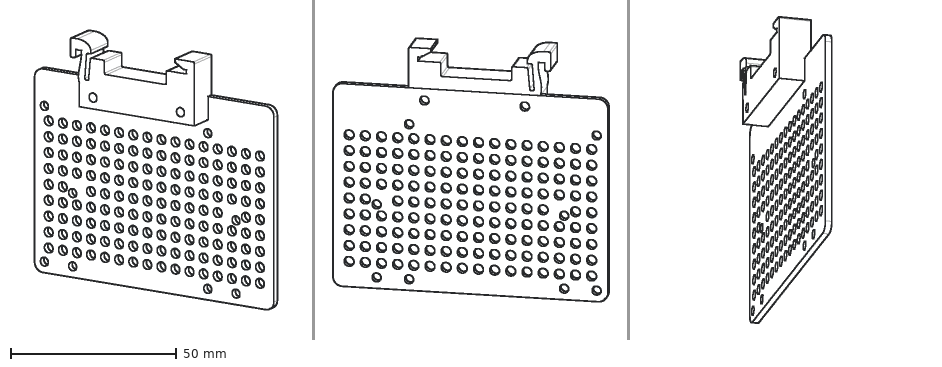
import cadquery as cq

PLATE_WIDTH = 85.0
PLATE_HEIGHT = 64.0
PLATE_THICKNESS = 2.0
PLATE_CORNER_RADIUS = 3.0
HALF_WIDTH = PLATE_WIDTH / 2

GRID_COLUMNS = 16
GRID_ROWS = 9
GRID_HOLE_DIAMETER = 3.0
GRID_SIDE_MARGIN = 5.0
GRID_BOTTOM_MARGIN = 8.0
GRID_PITCH = (PLATE_WIDTH - 2 * GRID_SIDE_MARGIN) / (GRID_COLUMNS - 1)
SKIPPED_GRID_HOLES = [(2, 4), (GRID_COLUMNS - 3, 4)]

BOARD_HOLE_DIAMETER = 2.7
LARGE_BOARD_INSET_X = 3.5
BOARD_HOLE_BOTTOM = 3.5
BOARD_HOLE_SPACING_X = 58.0
LARGE_BOARD_SPACING_Z = 49.0
SMALL_BOARD_SPACING_Z = 23.0

CLIP_DEPTH = 10.0
CLIP_LEFT = -21.7
CLIP_RIGHT = 19.1
CLIP_BOTTOM = 56.7
EDGE_RADIUS = 0.5

SCREW_HOLE_DIAMETER = 2.8
SCREW_HOLE_SPACING = 31.0
SCREW_LEFT_X = -16.8
SCREW_Z = 60.3

SADDLE_LEFT = -12.75
SADDLE_RIGHT = 9.1
SADDLE_FLOOR = 68.2
PILLAR_TOP = 72.6

RIGHT_HOOK_TOP = 76.75
RIGHT_HOOK_TIP_X = 12.2
RIGHT_HOOK_TIP_BOTTOM = 75.65
RIGHT_HOOK_RAMP_END_X = 15.3
RIGHT_HOOK_ROOT_X = 16.2
HOOK_UNDERSIDE = 73.9

SPRING_TOP = 77.95
SPRING_LEFT = -24.8
SPRING_NOSE_X = -17.7
SPRING_CROWN_START_X = -22.5
SPRING_CROWN_END_Z = 75.05
FINGER_RIGHT = -23.0
FINGER_BOTTOM = 71.8
FINGER_GAP_TOP = 74.5
LEAF_TOP_X = -21.0
LEAF_BASE_Z = 64.2
LEAF_OUTER_CURVE = [(-21.6, 69.5), (-22.0, 66.3), (CLIP_LEFT, LEAF_BASE_Z)]

SLOT_TOP_LEFT = -19.1
SLOT_BOTTOM_LEFT = -19.7
SLOT_BOTTOM_RIGHT = -18.4
SLOT_TOP_RIGHT = -17.8
SLOT_END_Z = 66.05
SLOT_END_RADIUS = (SLOT_BOTTOM_RIGHT - SLOT_BOTTOM_LEFT) / 2
SLOT_END_MIDDLE = (SLOT_BOTTOM_LEFT + SLOT_END_RADIUS, SLOT_END_Z - SLOT_END_RADIUS)


def hole_pins(centers, diameter):
    """Pins along Y at the given (x, z) centres, long enough to cut either body."""
    return (
        cq.Workplane("XZ")
        .pushPoints(centers)
        .circle(diameter / 2)
        .extrude(CLIP_DEPTH, both=True)
    )


def grid_hole_centers():
    return [
        (-HALF_WIDTH + GRID_SIDE_MARGIN + column * GRID_PITCH, GRID_BOTTOM_MARGIN + row * GRID_PITCH)
        for column in range(GRID_COLUMNS)
        for row in range(GRID_ROWS)
        if (column, row) not in SKIPPED_GRID_HOLES
    ]


def board_hole_centers():
    """Four holes per board: the large board sits to the left, the small one is centred."""
    boards = [
        (-HALF_WIDTH + LARGE_BOARD_INSET_X, LARGE_BOARD_SPACING_Z),
        (-BOARD_HOLE_SPACING_X / 2, SMALL_BOARD_SPACING_Z),
    ]
    return [
        (x, z)
        for left, spacing_z in boards
        for x in (left, left + BOARD_HOLE_SPACING_X)
        for z in (BOARD_HOLE_BOTTOM, BOARD_HOLE_BOTTOM + spacing_z)
    ]


def screw_holes():
    centers = [(SCREW_LEFT_X, SCREW_Z), (SCREW_LEFT_X + SCREW_HOLE_SPACING, SCREW_Z)]
    return hole_pins(centers, SCREW_HOLE_DIAMETER)


def plate_block():
    """Square-cornered plate volume, which is also the seat cut from the clip."""
    return (
        cq.Workplane("XY")
        .box(PLATE_WIDTH, PLATE_THICKNESS, PLATE_HEIGHT, centered=(True, False, False))
        .translate((0, -PLATE_THICKNESS, 0))
    )


def make_plate():
    """Perforated plate with its back face on Y = 0 and its bottom edge on Z = 0."""
    blank = plate_block().edges("|Y").fillet(PLATE_CORNER_RADIUS)
    return (
        blank.cut(hole_pins(grid_hole_centers(), GRID_HOLE_DIAMETER))
        .cut(hole_pins(board_hole_centers(), BOARD_HOLE_DIAMETER))
        .cut(screw_holes())
    )


def clip_profile():
    """Closed clip outline in XZ, counter-clockwise from the bottom left corner."""
    return (
        cq.Workplane("XZ")
        .moveTo(CLIP_LEFT, CLIP_BOTTOM)
        .lineTo(CLIP_RIGHT, CLIP_BOTTOM)
        .lineTo(CLIP_RIGHT, RIGHT_HOOK_TOP)
        .lineTo(RIGHT_HOOK_TIP_X, RIGHT_HOOK_TOP)
        .lineTo(RIGHT_HOOK_TIP_X, RIGHT_HOOK_TIP_BOTTOM)
        .lineTo(RIGHT_HOOK_RAMP_END_X, HOOK_UNDERSIDE)
        .lineTo(RIGHT_HOOK_ROOT_X, HOOK_UNDERSIDE)
        .lineTo(RIGHT_HOOK_ROOT_X, PILLAR_TOP)
        .lineTo(SADDLE_RIGHT, PILLAR_TOP)
        .lineTo(SADDLE_RIGHT, SADDLE_FLOOR)
        .lineTo(SADDLE_LEFT, SADDLE_FLOOR)
        .lineTo(SADDLE_LEFT, PILLAR_TOP)
        .lineTo(SLOT_TOP_RIGHT, PILLAR_TOP)
        .lineTo(SLOT_BOTTOM_RIGHT, SLOT_END_Z)
        .threePointArc(SLOT_END_MIDDLE, (SLOT_BOTTOM_LEFT, SLOT_END_Z))
        .lineTo(SLOT_TOP_LEFT, HOOK_UNDERSIDE)
        .lineTo(SPRING_NOSE_X, HOOK_UNDERSIDE)
        .lineTo(SPRING_NOSE_X, SPRING_CROWN_END_Z)
        .ellipseArc(
            SPRING_NOSE_X - SPRING_CROWN_START_X,
            SPRING_TOP - SPRING_CROWN_END_Z,
            angle1=0,
            angle2=90,
            sense=1,
        )
        .lineTo(SPRING_LEFT, SPRING_TOP)
        .lineTo(SPRING_LEFT, FINGER_BOTTOM)
        .lineTo(FINGER_RIGHT, FINGER_BOTTOM)
        .lineTo(FINGER_RIGHT, FINGER_GAP_TOP)
        .lineTo(LEAF_TOP_X, FINGER_GAP_TOP)
        .spline(LEAF_OUTER_CURVE, includeCurrent=True)
        .close()
    )


def round_clip_edges(clip):
    """Round the corners of the clip outline that are not sharp."""
    corners = [
        (CLIP_RIGHT, RIGHT_HOOK_TOP),
        (SADDLE_RIGHT, PILLAR_TOP),
        (SADDLE_RIGHT, SADDLE_FLOOR),
        (SADDLE_LEFT, SADDLE_FLOOR),
        (SADDLE_LEFT, PILLAR_TOP),
        (SLOT_TOP_RIGHT, PILLAR_TOP),
        (SLOT_TOP_LEFT, HOOK_UNDERSIDE),
        (SPRING_LEFT, SPRING_TOP),
        (SPRING_LEFT, FINGER_BOTTOM),
        (FINGER_RIGHT, FINGER_BOTTOM),
    ]
    for x, z in corners:
        edge_middle = (x, -CLIP_DEPTH / 2, z)
        clip = clip.edges(cq.selectors.NearestToPointSelector(edge_middle)).fillet(EDGE_RADIUS)
    return clip


def make_clip():
    """Rail clip that stands on the top edge of the plate and overlaps its front face."""
    clip = round_clip_edges(clip_profile().extrude(CLIP_DEPTH))
    return clip.cut(plate_block()).cut(screw_holes())


plate = make_plate()
clip = make_clip()

result = cq.Compound.makeCompound([plate.val(), clip.val()])